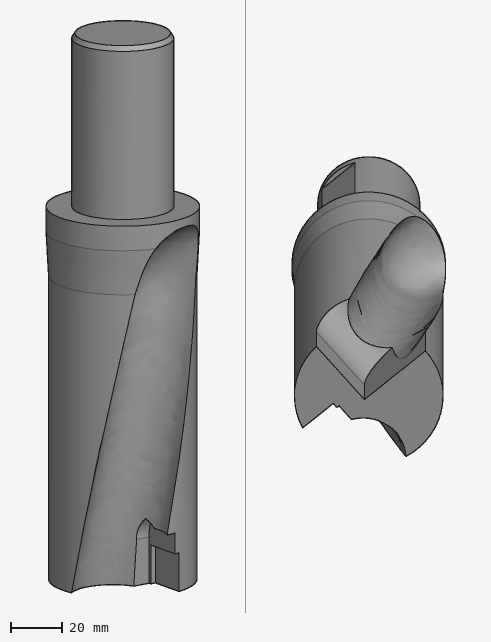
import cadquery as cq
import math

total_height = 220.5
collar_top = 150.5
collar_bottom = 140.7
taper_bottom = 122.5

collar_radius = 30.0
body_radius = 58.0 / 2
shank_radius = 40.0 / 2
shank_chamfer_height = 2.0
shank_chamfer_inset = 1.3

flat_offset = 18.0
flat_bottom = 157.9
flat_top = 213.9

flute_radius = 16.8
core_radius = 9.3
flute_start_angle = 135.3
twist_rate = 0.4308
runout_start = 116.0
runout_radius = 33.5
runout_clearance = 0.1
runout_end_radius = collar_radius + runout_clearance
guard_radius = collar_radius + 2 * runout_clearance
straight_sections = 8
runout_sections = 6

inner_floor_x = 2.2
inner_round_start = 16.5
inner_round_radius = 17.9

outer_wall_x = 11.5
outer_ceiling = 24.0
outer_round_start = 18.7
relief_side_x = 12.1
relief_side_z = 24.0
relief_peak_x = 14.1
relief_peak_z = 27.3
relief_end_x = 18.7
outer_depth = 4.5
seat_wall_x = 12.5
seat_depth = 6.6
seat_height = 15.7

clearance = 33.0
overshoot = 2.2


def turned_blank():
    """Revolved shank, collar, taper and body."""
    profile = [
        (0, 0),
        (body_radius, 0),
        (body_radius, taper_bottom),
        (collar_radius, collar_bottom),
        (collar_radius, collar_top),
        (shank_radius, collar_top),
        (shank_radius, total_height - shank_chamfer_height),
        (shank_radius - shank_chamfer_inset, total_height),
        (0, total_height),
    ]
    return cq.Workplane("XZ").polyline(profile).close().revolve(360, (0, 0), (0, 1))


def shank_flat():
    """Block outside the clamping flat."""
    block = cq.Workplane("XY").workplane(offset=flat_bottom)
    block = block.center(0, flat_offset + clearance / 2)
    return block.rect(2 * clearance, clearance).extrude(flat_top - flat_bottom)


def flute_section(z, floor_distance, start_angle):
    """Closed outline of the flute at height z: round floor, closed by an arc outside the part."""
    axis_distance = floor_distance + flute_radius
    edge_x = (axis_distance**2 + guard_radius**2 - flute_radius**2) / (2 * axis_distance)
    edge_y = math.sqrt(guard_radius**2 - edge_x**2)
    lower_edge = cq.Vector(edge_x, -edge_y, z)
    upper_edge = cq.Vector(edge_x, edge_y, z)
    floor = cq.Edge.makeThreePointArc(lower_edge, cq.Vector(floor_distance, 0, z), upper_edge)
    outside = cq.Edge.makeThreePointArc(upper_edge, cq.Vector(guard_radius, 0, z), lower_edge)
    outline = cq.Wire.assembleEdges([floor, outside])
    angle = start_angle + twist_rate * z
    return outline.rotate(cq.Vector(0, 0, 0), cq.Vector(0, 0, 1), angle)


def flute(start_angle):
    """Solid lofted through sections that follow the helix, then the runout arc."""
    sections = []
    straight_step = (runout_start + overshoot) / straight_sections
    for i in range(straight_sections):
        sections.append(flute_section(i * straight_step - overshoot, core_radius, start_angle))
    runout_end_angle = math.acos(1 - (runout_end_radius - core_radius) / runout_radius)
    for i in range(runout_sections + 1):
        arc_angle = runout_end_angle * i / runout_sections
        height = runout_start + runout_radius * math.sin(arc_angle)
        floor_distance = core_radius + runout_radius * (1 - math.cos(arc_angle))
        sections.append(flute_section(height, floor_distance, start_angle))
    return cq.Workplane(cq.Solid.makeLoft(sections))


def inner_pocket():
    """Insert pocket whose floor faces -X and whose side wall lies on the Y = 0 plane."""
    round_center_x = inner_floor_x - inner_round_radius
    diagonal = inner_round_radius * math.sqrt(0.5)
    return (
        cq.Workplane("XZ")
        .moveTo(inner_floor_x, -overshoot)
        .lineTo(inner_floor_x, inner_round_start)
        .threePointArc(
            (round_center_x + diagonal, inner_round_start + diagonal),
            (round_center_x, inner_round_start + inner_round_radius),
        )
        .lineTo(-clearance, inner_round_start + inner_round_radius)
        .lineTo(-clearance, -overshoot)
        .close()
        .extrude(-clearance)
    )


def outer_pocket():
    """Insert pocket open toward -Y, with a deeper seat for the insert."""
    pocket = (
        cq.Workplane("XZ", origin=(0, outer_depth, 0))
        .moveTo(outer_wall_x, -overshoot)
        .lineTo(outer_wall_x, outer_round_start)
        .threePointArc((relief_side_x, relief_side_z), (relief_peak_x, relief_peak_z))
        .lineTo(relief_end_x, outer_ceiling)
        .lineTo(clearance, outer_ceiling)
        .lineTo(clearance, -overshoot)
        .close()
        .extrude(clearance)
    )
    seat = (
        cq.Workplane("XZ", origin=(0, seat_depth, 0))
        .moveTo(seat_wall_x, -overshoot)
        .lineTo(seat_wall_x, seat_height)
        .lineTo(clearance, seat_height)
        .lineTo(clearance, -overshoot)
        .close()
        .extrude(clearance)
    )
    return pocket.union(seat)


drill = turned_blank().cut(shank_flat())
for half_turn in (0, 180):
    drill = drill.cut(flute(flute_start_angle + half_turn))
drill = drill.cut(inner_pocket())
drill = drill.cut(outer_pocket())

result = drill